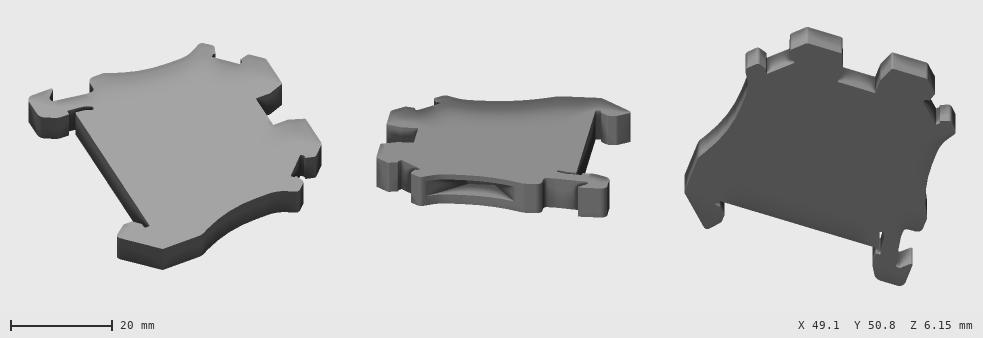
import cadquery as cq
import math

thickness = 6.15
tilt = 7.0

half_width = 23.95
top = 40.0
foot_bottom = -6.85
gap_half_width = 3.9
gap_floor = 33.55
waist_half_width = 19.9
shoulder_left = -23.1
step = -1.2
rail_left = -16.15
rail_right = 17.3
stem_left = -19.65
stem_shelf = 6.05

small = 0.15
medium = 0.3
waist_radius = 25.35
neck_radius = 7.1

recess_bottom = 1.95
recess_height = 3.15
recess_mouth_top = (-21.55, 29.35)
recess_depth = 7.6
recess_back_height = 5.35
recess_lower_angle = 30.5

head = [
    (gap_half_width, gap_floor, 0),
    (gap_half_width, 36.7, 0.4),
    (5.2, top, 0.4),
    (12.55, top, 0.75),
    (15.1, 37.35, 0.6),
    (14.55, 35.4, small),
    (13.9, 35.4, 0),
    (13.35, 34.85, 0),
]
clamp_ear = [
    (17.6, 30.65, 0),
    (18.2, 31.25, 0),
    (17.95, 31.6, small),
    (20.05, 32.4, 0.75),
    (22.05, 30.25, 1.0),
]
waist = [
    (waist_half_width, 26.65, neck_radius),
    (waist_half_width, 15.65, waist_radius),
]
side = head + clamp_ear + waist

fixed_foot = [
    (half_width, 8.1, 2.55),
    (half_width, -0.4, 0.4),
    (17.3, -7.05, 0.8),
    (16.65, -6.85, 0.5),
    (14.7, -4.45, 0.75),
    (14.7, -2.6, 0.5),
    (16.15, step, 0.5),
    (17.4, -1.05, medium),
    (rail_right, 0, 0),
]

flex_slot = [
    (rail_left, 0, small),
    (-15.95, 1.85, 2.55),
    (-15.15, 3.6, 0.38),
    (-15.95, 3.95, 0.38),
    (-16.85, 2.15, 2.55),
    (-17.2, step, medium),
]

spring_foot = [
    (-16.25, step, small),
    (-16.25, -3.55, 3.05),
    (-18.1, foot_bottom, 1.8),
    (-half_width, foot_bottom, 1.25),
    (-half_width, step, 0.2),
    (-23.5, step, small),
    (-21.8, -2.85, medium),
    (-20.8, -2.85, 0.45),
    (stem_left, 4.05, 2.05),
    (stem_left, stem_shelf, 0.7),
    (shoulder_left, 6.15, 1.2),
    (shoulder_left, 9.75, 1.5),
]


def mirrored(corners):
    """The same corners on the other side of the centre line, in reverse order."""
    return [(-u, v, radius) for u, v, radius in reversed(corners)]


def corner_arc(before, corner, after):
    """Start, middle and end of the arc that rounds one corner."""
    point = cq.Vector(corner[0], corner[1])
    radius = corner[2]
    back = (cq.Vector(before[0], before[1]) - point).normalized()
    ahead = (cq.Vector(after[0], after[1]) - point).normalized()
    half_angle = back.getAngle(ahead) / 2
    setback = radius / math.tan(half_angle)
    crown = radius / math.sin(half_angle) - radius
    middle = point + (back + ahead).normalized() * crown
    return point + back * setback, middle, point + ahead * setback


def rounded_outline(corners):
    """Closed outline through the corners, each rounded by its own radius."""
    sketch = cq.Workplane("XY").moveTo(corners[0][0], corners[0][1])
    for i in range(1, len(corners)):
        corner = corners[i]
        if corner[2] == 0:
            sketch = sketch.lineTo(corner[0], corner[1])
        else:
            after = corners[(i + 1) % len(corners)]
            start, middle, end = corner_arc(corners[i - 1], corner, after)
            sketch = sketch.lineTo(start.x, start.y)
            sketch = sketch.threePointArc(middle.toTuple()[:2], end.toTuple()[:2])
    return sketch.close()


def plate():
    corners = side + fixed_foot + flex_slot + spring_foot + mirrored(side)
    return rounded_outline(corners).extrude(thickness)


def side_recess():
    """Funnel-shaped recess: a 45 degree upper wall, an upright back and a sloping lower wall."""
    mouth_u, mouth_v = recess_mouth_top
    back_u = mouth_u + recess_depth
    back_top = mouth_v - recess_depth
    back_bottom = back_top - recess_back_height
    outer_u = -half_width
    overrun = mouth_u - outer_u
    lower_v = back_bottom - (back_u - outer_u) * math.tan(math.radians(recess_lower_angle))
    return (
        cq.Workplane("XY")
        .workplane(offset=recess_bottom)
        .moveTo(mouth_u, mouth_v)
        .lineTo(back_u, back_top)
        .lineTo(back_u, back_bottom)
        .lineTo(outer_u, lower_v)
        .lineTo(outer_u, mouth_v - overrun)
        .close()
        .extrude(recess_height)
    )


result = plate().cut(side_recess()).rotate((0, 0, 0), (0, 0, 1), tilt)